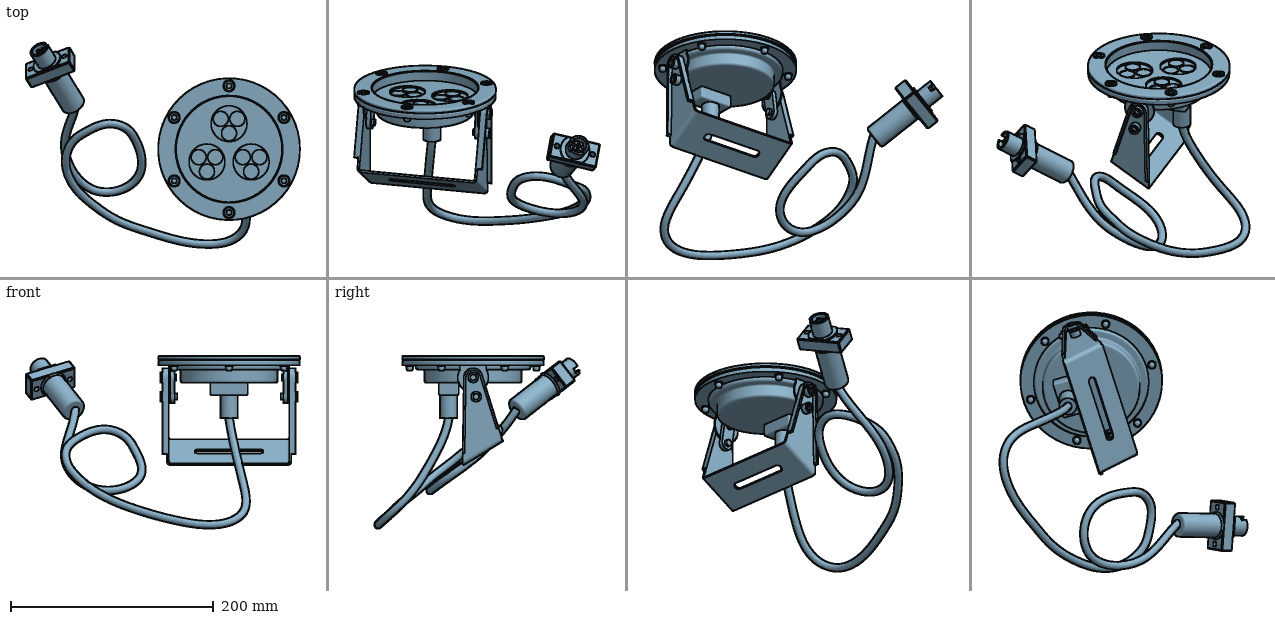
import cadquery as cq
import math

RIM_DIAMETER = 140.0
FLANGE_DIAMETER = 139.8
GROOVE_DIAMETER = 137.0
RIM_BOTTOM = -3.5
GROOVE_BOTTOM = -4.3
FLANGE_BOTTOM = -9.5
EDGE_ROUND = 1.5

STEP_DIAMETER = 113.3
STEP_BOTTOM = -13.8
STEP_ROUND = 2.7
CAN_DIAMETER = 96.0
CAN_BOTTOM = -26.8
CAN_ROUND = 2.5
CAN_ROOT_ROUND = 1.4

WINDOW_DIAMETER = 104.4
WINDOW_DEPTH = 10.3
WINDOW_CHAMFER = 0.8

LED_COUNT = 3
LED_CIRCLE_RADIUS = 25.1
LED_POCKET_DIAMETER = 35.5
LED_POCKET_DEPTH = 1.5
LENS_COUNT = 3
LENS_DIAMETER = 15.0
LENS_CIRCLE_RADIUS = 9.5
LENS_HEIGHT = 0.8

OUTLET_Y = -24.0
OUTLET_WIDTH = 37.3
OUTLET_DEPTH = 20.0
OUTLET_BOTTOM = -39.0
OUTLET_ROUND = 2.0
SLEEVE_DIAMETER = 17.3
SLEEVE_BOTTOM = -61.5

SCREW_COUNT = 6
SCREW_START_ANGLE = 30
SCREW_CIRCLE_RADIUS = 62.5
SCREW_HEAD_DIAMETER = 11.4
SCREW_HEAD_HEIGHT = 3.5
SCREW_HEAD_CHAMFER = 0.8
SOCKET_DIAMETER = 5.1
SOCKET_DEPTH = 2.2
SHANK_DIAMETER = 7.8
SHANK_BOTTOM = -10.3
TAIL_DIAMETER = 6.5
TAIL_BOTTOM = -15.0
TAIL_ROUND = 2.2

SHEET = 2.2
BRACKET_INNER_X = 59.2
BRACKET_OUTER_X = BRACKET_INNER_X + SHEET
RIB_OUTER_X = 65.7
PIVOT = (0, -21.4)
ARM_RADIUS = 9.2
ARM_FRONT_CORNER = (-10.5, -106.0)
ARM_REAR_CORNER = (28.7, -82.2)
RIB_FRONT_END = (-10.8, -97.3)
RIB_REAR_END = (27.0, -69.0)
BEND_RADIUS = 4.0
SLOT_LENGTH = 67.9
SLOT_WIDTH = 7.8
BASE_LENGTH = math.dist(ARM_FRONT_CORNER, ARM_REAR_CORNER)
BASE_TILT = math.asin((ARM_REAR_CORNER[1] - ARM_FRONT_CORNER[1]) / BASE_LENGTH)

BOLT_HEAD_DIAMETER = 10.0
BOLT_HEAD_X = 67.5
BOLT_SOCKET_DIAMETER = 6.0
BOLT_SOCKET_DEPTH = 2.7
BOLT_DIAMETER = 6.5
LOWER_BOLT = (3.0, -40.3)
UPPER_BOLT_END_X = 52.0
LOWER_BOLT_END_X = 50.8
TAB_INNER_X = 57.9
BAR_INNER_X = 53.5
BAR_WIDTH = 13.0

TAB_NECK_WIDTH = 26.0
TAB_RADIUS = 15.1

TRIM_REACH = 162.2

CABLE_DIAMETER = 7.8
PLUG_END = (-152.7, 42.7, -53.8)
PLUG_AXIS = (-0.438, 0.708, 0.551)
PLUG_WIDTH_AXIS = (0.910, 0.328, 0.253)
GRIP_DIAMETER = 23.8
GRIP_LENGTH = 46.8
GRIP_ROUND = 2.5
PLATE_WIDTH = 48.0
PLATE_HEIGHT = 25.0
PLATE_THICKNESS = 13.2
PLATE_CHAMFER = 1.0
PLATE_HOLE_DIAMETER = 5.1
PLATE_HOLE_SPACING = 36.5
FRONT_COLLAR_DIAMETER = 29.2
FRONT_COLLAR_LENGTH = 1.4
REAR_COLLAR_DIAMETER = 27.0
REAR_COLLAR_LENGTH = 2.0
TIP_DIAMETER = 19.5
TIP_BORE_DIAMETER = 15.0
TIP_BORE_DEPTH = 10.8
TIP_LENGTH = 18.5
KEY_WIDTH = 5.1
KEY_ANGLE = 30
KEY_DEPTH = 5.5
PIN_COUNT = 4
PIN_START_ANGLE = 45
PIN_DIAMETER = 3.5
PIN_CIRCLE_RADIUS = 3.8
PIN_HEIGHT = 8.0

CABLE_POINTS = [
    (0.0, OUTLET_Y, SLEEVE_BOTTOM),
    (2.5, -27.5, -75.5),
    (7.8, -39.2, -100.5),
    (14.0, -54.5, -126.2),
    (16.8, -68.5, -143.3),
    (13.0, -81.0, -155.5),
    (0.5, -90.3, -163.5),
    (-20.5, -93.5, -166.5),
    (-45.7, -90.8, -163.5),
    (-79.5, -81.5, -155.2),
    (-109.2, -70.5, -145.0),
    (-134.5, -54.0, -131.7),
    (-152.5, -36.5, -116.5),
    (-160.3, -19.2, -103.3),
    (-160.5, -7.0, -93.5),
    (-153.8, 7.8, -84.3),
    (-140.3, 17.5, -76.5),
    (-119.2, 25.1, -72.7),
    (-103.0, 21.5, -79.2),
    (-92.5, 9.7, -93.3),
    (-86.2, -9.2, -109.0),
    (-88.7, -25.5, -120.5),
    (-100.3, -37.0, -129.0),
    (-117.0, -42.2, -132.7),
    (-132.2, -40.5, -131.0),
    (-145.5, -32.5, -125.0),
    (-157.0, -16.5, -113.0),
    (-162.0, 4.0, -97.5),
    (-158.5, 22.0, -80.5),
    (-154.0, 33.5, -66.5),
    (-151.7, 43.5, -52.5),
]


def cylinder(diameter, top, bottom):
    """Upright cylinder on the Z axis between two heights."""
    return cq.Workplane("XY", origin=(0, 0, bottom)).circle(diameter / 2).extrude(top - bottom)


def x_cylinder(diameter, start_x, end_x, centre):
    """Cylinder along X around a (y, z) centre."""
    plane = cq.Workplane("YZ", origin=(start_x, 0, 0)).center(*centre)
    return plane.circle(diameter / 2).extrude(end_x - start_x)


def both_sides(shape):
    """The shape together with its mirror image in the YZ plane."""
    return shape.union(shape.mirror("YZ"))


def make_screw():
    screw = cylinder(SCREW_HEAD_DIAMETER, 0, -SCREW_HEAD_HEIGHT)
    screw = screw.faces(">Z").edges().chamfer(SCREW_HEAD_CHAMFER)
    shank = cylinder(SHANK_DIAMETER, -SCREW_HEAD_HEIGHT, SHANK_BOTTOM)
    tail = cylinder(TAIL_DIAMETER, SHANK_BOTTOM, TAIL_BOTTOM).faces("<Z").edges().fillet(TAIL_ROUND)
    screw = screw.union(shank).union(tail)
    return screw.cut(cylinder(SOCKET_DIAMETER, 0, -SOCKET_DEPTH))


def screw_bore():
    """Stepped hole that takes one screw."""
    bore = cylinder(SCREW_HEAD_DIAMETER, 0, -SCREW_HEAD_HEIGHT)
    return bore.union(cylinder(SHANK_DIAMETER, 0, TAIL_BOTTOM))


def at_screw_place(shape, index):
    angle = SCREW_START_ANGLE + index * 360 / SCREW_COUNT
    return shape.translate((SCREW_CIRCLE_RADIUS, 0, 0)).rotate((0, 0, 0), (0, 0, 1), angle)


def lamp_shell():
    """Rim and flange with a groove between them, and the stepped can below."""
    rim = cylinder(RIM_DIAMETER, 0, RIM_BOTTOM).faces(">Z").edges().fillet(EDGE_ROUND)
    flange = cylinder(FLANGE_DIAMETER, GROOVE_BOTTOM, FLANGE_BOTTOM)
    flange = flange.faces(">Z").edges().fillet(EDGE_ROUND)
    step = cylinder(STEP_DIAMETER, FLANGE_BOTTOM, STEP_BOTTOM).faces("<Z").edges().fillet(STEP_ROUND)
    can = cylinder(CAN_DIAMETER, STEP_BOTTOM, CAN_BOTTOM).faces("<Z").edges().fillet(CAN_ROUND)
    shell = rim.union(cylinder(GROOVE_DIAMETER, RIM_BOTTOM, GROOVE_BOTTOM))
    shell = shell.union(flange).union(step).union(can)
    reach = CAN_DIAMETER / 2 + CAN_ROOT_ROUND / 2
    around_root = cq.selectors.BoxSelector(
        (-reach, -reach, STEP_BOTTOM - CAN_ROOT_ROUND),
        (reach, reach, STEP_BOTTOM + CAN_ROOT_ROUND),
        boundingbox=True,
    )
    return shell.edges(around_root).fillet(CAN_ROOT_ROUND)


def cut_window(lamp):
    lamp = lamp.cut(cylinder(WINDOW_DIAMETER, 0, -WINDOW_DEPTH))
    bevel = cylinder(WINDOW_DIAMETER + 2 * WINDOW_CHAMFER, 0, -WINDOW_CHAMFER)
    return lamp.cut(bevel.faces("<Z").edges().chamfer(WINDOW_CHAMFER * 0.99))


def led_pocket():
    """Shallow round pocket with raised lenses left on its floor."""
    floor = -WINDOW_DEPTH - LED_POCKET_DEPTH
    pocket = cylinder(LED_POCKET_DIAMETER, -WINDOW_DEPTH, floor)
    lens = cylinder(LENS_DIAMETER, floor + LENS_HEIGHT, floor).translate((0, -LENS_CIRCLE_RADIUS, 0))
    for index in range(LENS_COUNT):
        pocket = pocket.cut(lens.rotate((0, 0, 0), (0, 0, 1), index * 360 / LENS_COUNT))
    return pocket


def cable_outlet():
    block = (
        cq.Workplane("XY", origin=(0, OUTLET_Y, OUTLET_BOTTOM))
        .rect(OUTLET_WIDTH, OUTLET_DEPTH)
        .extrude(CAN_BOTTOM - OUTLET_BOTTOM)
        .edges("|Z or <Z")
        .fillet(OUTLET_ROUND)
    )
    sleeve = cylinder(SLEEVE_DIAMETER, OUTLET_BOTTOM, SLEEVE_BOTTOM)
    return block.union(sleeve.translate((0, OUTLET_Y, 0)))


def lamp_tab():
    """Hanging tab with a round lower end, bored for the upper bolt."""
    thickness = BRACKET_INNER_X - TAB_INNER_X
    neck = (
        cq.Workplane("YZ", origin=(TAB_INNER_X, 0, 0))
        .center(0, (FLANGE_BOTTOM + PIVOT[1]) / 2)
        .rect(TAB_NECK_WIDTH, FLANGE_BOTTOM - PIVOT[1])
        .extrude(thickness)
    )
    disc = x_cylinder(2 * TAB_RADIUS, TAB_INNER_X, BRACKET_INNER_X, PIVOT)
    above = (
        cq.Workplane("XY", origin=(0, 0, FLANGE_BOTTOM))
        .rect(2 * TRIM_REACH, 2 * TRIM_REACH)
        .extrude(TRIM_REACH)
    )
    tab = neck.union(disc.cut(above))
    return tab.cut(x_cylinder(BOLT_DIAMETER, TAB_INNER_X, BRACKET_INNER_X, PIVOT))


def make_lamp():
    lamp = cut_window(lamp_shell())
    for index in range(LED_COUNT):
        angle = math.radians(90 + index * 360 / LED_COUNT)
        place = (LED_CIRCLE_RADIUS * math.cos(angle), LED_CIRCLE_RADIUS * math.sin(angle), 0)
        lamp = lamp.cut(led_pocket().translate(place))
    for index in range(SCREW_COUNT):
        lamp = lamp.cut(at_screw_place(screw_bore(), index))
    return lamp.union(cable_outlet()).union(both_sides(lamp_tab()))


def tangent_point(corner, side):
    """Point where a line from an arm corner touches the round arm end."""
    dy, dz = corner[0] - PIVOT[0], corner[1] - PIVOT[1]
    spread = side * math.acos(ARM_RADIUS / math.hypot(dy, dz))
    angle = math.atan2(dz, dy) + spread
    return (PIVOT[0] + ARM_RADIUS * math.cos(angle), PIVOT[1] + ARM_RADIUS * math.sin(angle))


def under_base(corner):
    """Point one sheet thickness below a corner, square to the sloping base."""
    return (corner[0] + SHEET * math.sin(BASE_TILT), corner[1] - SHEET * math.cos(BASE_TILT))


def arm_outline(start_x):
    """Arm profile: sloping foot, two straight flanks and a round top around the pivot."""
    return (
        cq.Workplane("YZ", origin=(start_x, 0, 0))
        .moveTo(*ARM_FRONT_CORNER)
        .lineTo(*under_base(ARM_FRONT_CORNER))
        .lineTo(*under_base(ARM_REAR_CORNER))
        .lineTo(*ARM_REAR_CORNER)
        .lineTo(*tangent_point(ARM_REAR_CORNER, 1))
        .threePointArc((PIVOT[0], PIVOT[1] + ARM_RADIUS), tangent_point(ARM_FRONT_CORNER, -1))
        .close()
    )


def on_base(shape):
    """Moves a shape from the XY plane to the sloping upper face of the base, Y running up it."""
    tilted = shape.rotate((0, 0, 0), (1, 0, 0), math.degrees(BASE_TILT))
    return tilted.translate((0, *ARM_FRONT_CORNER))


def trough(half_width, floor, radius):
    """Long block above a floor, with its two lower long edges rounded."""
    block = cq.Workplane("XY").box(
        2 * half_width, 2 * TRIM_REACH, TRIM_REACH, centered=(True, True, False)
    )
    return on_base(block.edges("<Z and |Y").fillet(radius).translate((0, 0, floor)))


def folded_sheet():
    """Sheet folded into two arms and a sloping base, trimmed to the arm profile."""
    sheet = trough(BRACKET_OUTER_X, -SHEET, BEND_RADIUS)
    sheet = sheet.cut(trough(BRACKET_INNER_X, 0, BEND_RADIUS - SHEET))
    profile = arm_outline(-BRACKET_OUTER_X).extrude(2 * BRACKET_OUTER_X)
    slot = cq.Workplane("XY").slot2D(SLOT_LENGTH, SLOT_WIDTH).extrude(-SHEET)
    return sheet.intersect(profile).cut(on_base(slot.translate((0, BASE_LENGTH / 2, 0))))


def arm_rib():
    """Rib standing out along the flanks and round top of one arm."""
    height = RIB_OUTER_X - BRACKET_OUTER_X
    outer = arm_outline(BRACKET_OUTER_X).extrude(height)
    inner = arm_outline(BRACKET_OUTER_X).offset2D(-SHEET).extrude(height)
    below = (
        cq.Workplane("YZ", origin=(BRACKET_OUTER_X, 0, 0))
        .polyline(
            [
                RIB_FRONT_END,
                RIB_REAR_END,
                (TRIM_REACH, RIB_REAR_END[1]),
                (TRIM_REACH, -TRIM_REACH),
                (-TRIM_REACH, -TRIM_REACH),
                (-TRIM_REACH, RIB_FRONT_END[1]),
            ]
        )
        .close()
        .extrude(height)
    )
    return outer.cut(inner).cut(below)


def bolt(centre, end_x):
    shaft = x_cylinder(BOLT_DIAMETER, end_x, BOLT_HEAD_X, centre)
    head = x_cylinder(BOLT_HEAD_DIAMETER, BRACKET_OUTER_X, BOLT_HEAD_X, centre)
    socket = x_cylinder(BOLT_SOCKET_DIAMETER, BOLT_HEAD_X - BOLT_SOCKET_DEPTH, BOLT_HEAD_X, centre)
    return shaft.union(head).cut(socket)


def clamp_bar():
    """Round-ended bar that joins the inner ends of the two bolts of one arm."""
    middle = ((PIVOT[0] + LOWER_BOLT[0]) / 2, (PIVOT[1] + LOWER_BOLT[1]) / 2)
    angle = math.degrees(math.atan2(LOWER_BOLT[1] - PIVOT[1], LOWER_BOLT[0] - PIVOT[0]))
    return (
        cq.Workplane("YZ", origin=(BAR_INNER_X, 0, 0))
        .center(*middle)
        .slot2D(math.dist(PIVOT, LOWER_BOLT) + BAR_WIDTH, BAR_WIDTH, angle)
        .extrude(TAB_INNER_X - BAR_INNER_X)
    )


def make_bracket():
    fittings = arm_rib().union(bolt(PIVOT, UPPER_BOLT_END_X))
    fittings = fittings.union(bolt(LOWER_BOLT, LOWER_BOLT_END_X)).union(clamp_bar())
    return folded_sheet().union(both_sides(fittings))


def plug():
    """Plug built along its own axis, from the grip end to the open tip."""
    axis = cq.Plane(origin=PLUG_END, xDir=PLUG_WIDTH_AXIS, normal=PLUG_AXIS)

    def at(distance):
        return cq.Workplane(axis).workplane(offset=distance)

    plate_front = GRIP_LENGTH + PLATE_THICKNESS
    tip_end = plate_front + TIP_LENGTH
    grip = at(0).circle(GRIP_DIAMETER / 2).extrude(GRIP_LENGTH)
    grip = grip.faces(cq.NearestToPointSelector(PLUG_END)).edges().fillet(GRIP_ROUND)
    plate = (
        at(GRIP_LENGTH)
        .rect(PLATE_WIDTH, PLATE_HEIGHT)
        .extrude(PLATE_THICKNESS)
        .edges()
        .chamfer(PLATE_CHAMFER)
    )
    holes = (
        at(GRIP_LENGTH)
        .pushPoints([(-PLATE_HOLE_SPACING / 2, 0), (PLATE_HOLE_SPACING / 2, 0)])
        .circle(PLATE_HOLE_DIAMETER / 2)
        .extrude(PLATE_THICKNESS)
    )
    collar_slab = (
        at(plate_front)
        .rect(PLATE_WIDTH, PLATE_HEIGHT - 2 * PLATE_CHAMFER)
        .extrude(FRONT_COLLAR_LENGTH)
    )
    front_collar = at(plate_front).circle(FRONT_COLLAR_DIAMETER / 2).extrude(FRONT_COLLAR_LENGTH)
    rear_collar = (
        at(GRIP_LENGTH - REAR_COLLAR_LENGTH)
        .circle(GRIP_DIAMETER / 2)
        .workplane(offset=REAR_COLLAR_LENGTH)
        .circle(REAR_COLLAR_DIAMETER / 2)
        .loft(ruled=True)
    )
    tip = at(plate_front).circle(TIP_DIAMETER / 2).extrude(TIP_LENGTH)
    bore = at(tip_end - TIP_BORE_DEPTH).circle(TIP_BORE_DIAMETER / 2).extrude(TIP_BORE_DEPTH)
    keyway = (
        at(tip_end - KEY_DEPTH)
        .transformed(rotate=(0, 0, KEY_ANGLE))
        .center(TIP_DIAMETER / 2, 0)
        .rect(TIP_DIAMETER / 2, KEY_WIDTH)
        .extrude(KEY_DEPTH)
    )
    pins = (
        at(tip_end - TIP_BORE_DEPTH)
        .polarArray(PIN_CIRCLE_RADIUS, PIN_START_ANGLE, 360, PIN_COUNT)
        .circle(PIN_DIAMETER / 2)
        .extrude(PIN_HEIGHT)
    )
    body = grip.union(plate.cut(holes)).union(rear_collar)
    body = body.union(front_collar.intersect(collar_slab)).union(tip)
    return body.cut(bore).cut(keyway).union(pins)


def make_cable():
    path = cq.Workplane("XY").spline(CABLE_POINTS)
    start = cq.Plane(origin=CABLE_POINTS[0], normal=path.val().tangentAt(0))
    cord = cq.Workplane(start).circle(CABLE_DIAMETER / 2).sweep(path)
    return cord.union(plug())


lamp = make_lamp()
bracket = make_bracket()
cable = make_cable()
screws = [at_screw_place(make_screw(), index) for index in range(SCREW_COUNT)]

result = cq.Compound.makeCompound(
    [lamp.val(), bracket.val(), cable.val(), *[screw.val() for screw in screws]]
)